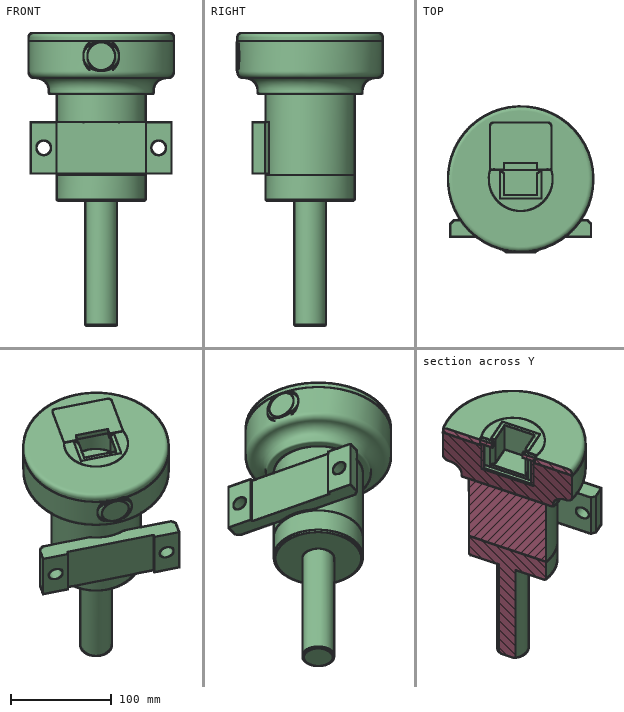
import cadquery as cq
import math

total_height = 291.7

head_diameter = 145.0
head_bottom = 246.5
head_fillet = 6.5
cover_bottom = 283.5
cover_fillet = 4.7
collar_diameter = 104.7
collar_bottom = 230.7
collar_fillet = 1.8
cove_radius = 12.0

tube_diameter = 89.0
plug_top = 150.2
plug_bottom = 124.3
plug_chamfer = 1.8
rod_diameter = 31.8
rod_chamfer = 1.5

insert_diameter = 63.5
insert_bore_diameter = 57.2
insert_bottom = 250.9
insert_back = 9.0
insert_floor = 3.0

tray_width = 41.5
tray_front = -19.3
tray_opening_width = 33.0
tray_opening_front = -15.8
tray_flare_start = 5.5
tray_floor = 3.8

lid_width = 61.0
lid_front = 9.5
lid_back = 56.3
lid_thickness = 6.0
lid_corner_radius = 3.8
lid_notch_back = 16.0

button_diameter = 35.5
button_face_diameter = 27.7
button_protrusion = 0.5
button_length = 11.7
button_edge_length = 2.5
button_z = 268.5

bracket_width = 140.3
bracket_height = 51.0
bracket_bottom = 151.7
bracket_front = -57.5
bracket_back = -40.8
bracket_chamfer = 3.8
bracket_recess_depth = 3.0
bracket_hole_diameter = 14.3
bracket_hole_spacing = 114.3

button_front = -(head_diameter / 2 + button_protrusion)
lid_bottom = total_height - lid_thickness
tray_bottom = insert_bottom + insert_floor
bracket_top = bracket_bottom + bracket_height


def cylinder(diameter, bottom, top):
    return cq.Workplane("XY", origin=(0, 0, bottom)).circle(diameter / 2).extrude(top - bottom)


def block(width, front, back, bottom, top):
    """A box centred on X = 0 between the given Y and Z limits."""
    corner = cq.Workplane("XY", origin=(0, front, bottom))
    return corner.box(width, back - front, top - bottom, centered=(True, False, False))


def lid_pocket():
    """The space for the lid, which also reaches forward to the back of the insert."""
    pocket = block(lid_width, insert_back, lid_back, lid_bottom, total_height)
    return pocket.edges("|Z and >Y").fillet(lid_corner_radius)


def tray_block():
    return block(tray_width, tray_front, insert_back, tray_bottom, total_height)


def make_lid():
    front_gap = block(lid_width, insert_back, lid_front, lid_bottom, total_height)
    notch = block(tray_opening_width, lid_front, lid_notch_back, lid_bottom, total_height)
    return lid_pocket().cut(front_gap).cut(notch)


def make_insert():
    insert = cylinder(insert_diameter, insert_bottom, total_height)
    lid_seat = block(insert_diameter, insert_back, insert_diameter, lid_bottom, total_height)
    behind_tray = block(insert_diameter, insert_back, insert_diameter, tray_bottom, lid_bottom)
    bore = cylinder(insert_bore_diameter, tray_bottom, lid_bottom).intersect(behind_tray)
    return insert.cut(lid_seat).cut(bore).cut(tray_block())


def make_tray():
    half_opening = tray_opening_width / 2
    half_back = tray_width / 2
    floor_top = tray_bottom + tray_floor
    opening = (
        cq.Workplane("XY", origin=(0, 0, floor_top))
        .moveTo(-half_opening, tray_opening_front)
        .lineTo(half_opening, tray_opening_front)
        .lineTo(half_opening, tray_flare_start)
        .lineTo(half_back, insert_back)
        .lineTo(-half_back, insert_back)
        .lineTo(-half_opening, tray_flare_start)
        .close()
        .extrude(total_height - floor_top)
    )
    return tray_block().cut(opening)


def make_cover():
    """The top disc with an opening for insert and lid, relieved below for the top of the button."""
    cover = cylinder(head_diameter, cover_bottom, total_height)
    cover = cover.faces(">Z").edges().fillet(cover_fillet)
    insert_hole = cylinder(insert_diameter, cover_bottom, total_height)
    return cover.cut(insert_hole).cut(lid_pocket()).cut(make_button())


def make_button():
    """A disc along Y with a bevelled front edge."""
    button_back = button_front + button_length
    radius = button_diameter / 2
    profile = (
        cq.Workplane("XY")
        .moveTo(0, button_front)
        .lineTo(button_face_diameter / 2, button_front)
        .lineTo(radius, button_front + button_edge_length)
        .lineTo(radius, button_back)
        .lineTo(0, button_back)
        .close()
    )
    return profile.revolve(360, (0, 0, 0), (0, 1, 0)).translate((0, 0, button_z))


def make_head():
    """The housing with a concave cove down to its collar, a socket for the insert and one for the button."""
    head_radius = head_diameter / 2
    collar_radius = collar_diameter / 2
    cove_bottom = head_bottom - cove_radius
    cove_top_radius = collar_radius + cove_radius
    cove_mid = cove_radius * math.sqrt(0.5)
    fillet_mid = head_fillet * math.sqrt(0.5)
    fillet_center_radius = head_radius - head_fillet
    fillet_center_z = head_bottom + head_fillet
    profile = (
        cq.Workplane("XZ")
        .moveTo(0, collar_bottom)
        .lineTo(collar_radius, collar_bottom)
        .lineTo(collar_radius, cove_bottom)
        .threePointArc(
            (cove_top_radius - cove_mid, cove_bottom + cove_mid),
            (cove_top_radius, head_bottom),
        )
        .lineTo(fillet_center_radius, head_bottom)
        .threePointArc(
            (fillet_center_radius + fillet_mid, fillet_center_z - fillet_mid),
            (head_radius, fillet_center_z),
        )
        .lineTo(head_radius, cover_bottom)
        .lineTo(0, cover_bottom)
        .close()
    )
    head = profile.revolve(360, (0, 0, 0), (0, 1, 0))
    head = head.faces("<Z").edges().fillet(collar_fillet)
    insert_socket = cylinder(insert_diameter, insert_bottom, cover_bottom)
    return head.cut(insert_socket).cut(make_button())


def make_tube():
    return cylinder(tube_diameter, plug_top, collar_bottom)


def make_plug():
    plug = cylinder(tube_diameter, plug_bottom, plug_top)
    plug = plug.faces("<Z").edges().chamfer(plug_chamfer)
    rod = cylinder(rod_diameter, 0, plug_bottom)
    rod = rod.faces("<Z").edges().chamfer(rod_chamfer)
    return plug.union(rod)


def make_bracket():
    bracket = block(bracket_width, bracket_front, bracket_back, bracket_bottom, bracket_top)
    bracket = bracket.edges("|Z and >Y").chamfer(bracket_chamfer)
    recess_back = bracket_front + bracket_recess_depth
    recess = block(tube_diameter, bracket_front, recess_back, bracket_bottom, bracket_top)
    tube_saddle = cylinder(tube_diameter, bracket_bottom, bracket_top)
    bracket = bracket.cut(recess).cut(tube_saddle)
    hole_z = (bracket_bottom + bracket_top) / 2
    for side in (-1, 1):
        hole_start = cq.Workplane("XZ", origin=(side * bracket_hole_spacing / 2, bracket_back, hole_z))
        hole = hole_start.circle(bracket_hole_diameter / 2).extrude(bracket_back - bracket_front)
        bracket = bracket.cut(hole)
    return bracket


lid = make_lid()
insert = make_insert()
tray = make_tray()
cover = make_cover()
button = make_button()
head = make_head()
tube = make_tube()
plug = make_plug()
bracket = make_bracket()

result = cq.Compound.makeCompound([
    lid.val(),
    insert.val(),
    tray.val(),
    cover.val(),
    button.val(),
    head.val(),
    tube.val(),
    plug.val(),
    bracket.val(),
])